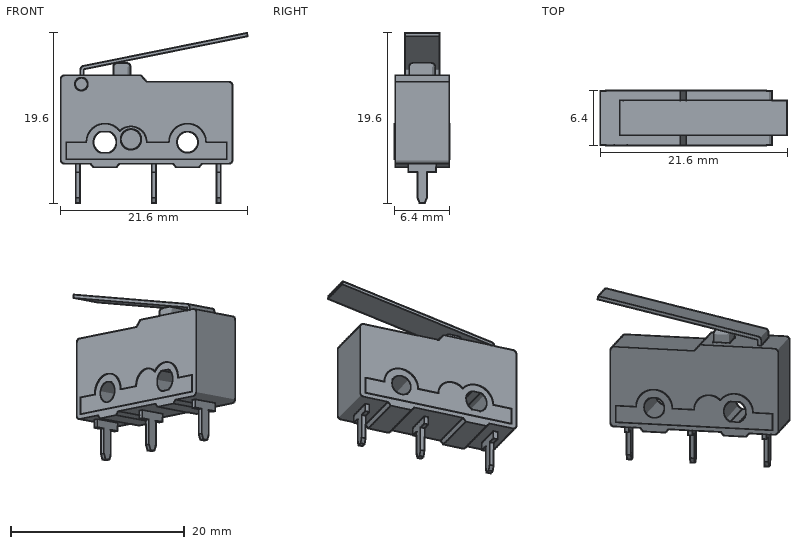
import cadquery as cq
import math


overall_length = 21.55
overall_width = 6.4
overall_height = 19.59

terminal_drop = 4.5
housing_length = 19.8
housing_height = 10.21
step_height = 9.45
step_start_x = 9.25
step_run = 0.67
left_corner_radius = 0.5
right_corner_radius = 0.45
panel_rise = 0.075
housing_width = overall_width - 2 * panel_rise

hole_z = 2.5
hole_diameter = 2.4
hole_spacing = 9.5
slotted_hole_x = 5.1
round_hole_x = slotted_hole_x + hole_spacing
slotted_hole_length = 2.6
foot_drop = 0.4
foot_top_width = 3.35
foot_bottom_width = 2.63

panel_left = 0.67
panel_right = 19.14
panel_bottom = 0.54
hole_lobe_radius = 2.13
recess_lobe_radius = 1.8

recess_depth = 0.1
recess_draft = 20.0
large_recess_x = 8.1
large_recess_z = 2.82
large_recess_diameter = 2.4
small_recess_x = 2.4
small_recess_z = 9.18
small_recess_diameter = 1.5

lever_width = 4.0
lever_thickness = 0.4
lever_left = 2.26
lever_bend_inner_radius = 0.1
lever_angle = math.radians(11.4)
lever_embed = 0.5

plunger_left = 6.08
plunger_length = 1.98
plunger_width = 3.0
plunger_top = 11.62
plunger_radius = 0.45
plunger_pocket_depth = 0.5

first_terminal_x = 1.98
second_terminal_x = 10.73
third_terminal_x = 18.19
terminal_thickness = 0.52
shoulder_width = 3.23
shoulder_drop = 0.95
blade_width = 1.12
tip_width = 0.62
tip_length = 0.62
terminal_embed = 0.5


def extrude_across(outline, width):
    """Extrude a closed XZ outline symmetrically about Y = 0."""
    return outline.extrude(width / 2, both=True)


def cylinder_across(x, z, diameter, width):
    """Cylinder along Y, centred on Y = 0."""
    return extrude_across(cq.Workplane("XZ").center(x, z).circle(diameter / 2), width)


def make_housing():
    """Stepped block with rounded end corners and two feet."""
    body = extrude_across(
        cq.Workplane("XZ").polyline([
            (0, 0),
            (housing_length, 0),
            (housing_length, step_height),
            (step_start_x + step_run, step_height),
            (step_start_x, housing_height),
            (0, housing_height),
        ]).close(),
        housing_width,
    )
    body = body.edges("|Y and <X").fillet(left_corner_radius)
    body = body.edges("|Y and >X").fillet(right_corner_radius)
    for x in (slotted_hole_x, round_hole_x):
        body = body.union(make_foot(x))
    return body


def make_foot(x):
    """Trapezoidal foot under the housing, embedded up to the hole axis."""
    half_top = foot_top_width / 2
    half_bottom = foot_bottom_width / 2
    outline = cq.Workplane("XZ").polyline([
        (x - half_bottom, -foot_drop),
        (x + half_bottom, -foot_drop),
        (x + half_top, 0),
        (x + half_top, hole_z),
        (x - half_top, hole_z),
        (x - half_top, 0),
    ]).close()
    return extrude_across(outline, housing_width)


def make_panel():
    """Strip with round lobes; it stands proud of both broad faces."""
    strip_length = panel_right - panel_left
    strip_height = hole_z - panel_bottom
    strip = cq.Workplane("XY").box(
        strip_length, overall_width, strip_height, centered=(False, True, False)
    ).translate((panel_left, 0, panel_bottom))
    lobes = cylinder_across(slotted_hole_x, hole_z, 2 * hole_lobe_radius, overall_width)
    lobes = lobes.union(cylinder_across(round_hole_x, hole_z, 2 * hole_lobe_radius, overall_width))
    lobes = lobes.union(cylinder_across(large_recess_x, hole_z, 2 * recess_lobe_radius, overall_width))
    upper_half = cq.Workplane("XY").box(
        strip_length, overall_width, housing_height, centered=(False, True, False)
    ).translate((panel_left, 0, hole_z))
    return strip.union(lobes.intersect(upper_half))


def make_mounting_holes():
    """Through holes: one round, one widened along X with flats above and below."""
    round_hole = cylinder_across(round_hole_x, hole_z, hole_diameter, overall_width)
    flats = cq.Workplane("XY").box(
        slotted_hole_length, overall_width, hole_diameter
    ).translate((slotted_hole_x, 0, hole_z))
    slotted_hole = cylinder_across(
        slotted_hole_x, hole_z, slotted_hole_length, overall_width
    ).intersect(flats)
    return round_hole.union(slotted_hole)


def make_recess(x, z, diameter, face_y):
    """Disc to be cut into a face at face_y; it narrows towards its floor."""
    return (
        cq.Workplane("XZ", origin=(x, face_y, z))
        .circle(diameter / 2)
        .extrude(-recess_depth, taper=recess_draft)
    )


def make_lever():
    """Bent strip: upright leg, rounded bend and a long arm rising towards +X."""
    sine = math.sin(lever_angle)
    cosine = math.cos(lever_angle)
    top_z = overall_height - terminal_drop
    root_z = housing_height - lever_embed
    inner_radius = lever_bend_inner_radius
    outer_radius = inner_radius + lever_thickness
    tip_lower_z = top_z - lever_thickness * cosine

    centre_x = lever_left + outer_radius
    arm_rise = (overall_length - centre_x) * math.tan(lever_angle)
    centre_z = tip_lower_z - arm_rise - inner_radius / cosine
    arm_direction = math.pi / 2 + lever_angle
    middle_direction = (math.pi + arm_direction) / 2

    def bend_point(radius, direction):
        return centre_x + radius * math.cos(direction), centre_z + radius * math.sin(direction)

    outline = (
        cq.Workplane("XZ")
        .moveTo(lever_left + lever_thickness, root_z)
        .lineTo(*bend_point(inner_radius, math.pi))
        .threePointArc(
            bend_point(inner_radius, middle_direction),
            bend_point(inner_radius, arm_direction),
        )
        .lineTo(overall_length, tip_lower_z)
        .lineTo(overall_length - lever_thickness * sine, top_z)
        .lineTo(*bend_point(outer_radius, arm_direction))
        .threePointArc(
            bend_point(outer_radius, middle_direction),
            bend_point(outer_radius, math.pi),
        )
        .lineTo(lever_left, root_z)
        .close()
    )
    return extrude_across(outline, lever_width)


def make_plunger_block(height):
    """Plain block with the plunger's plan, standing on the pocket floor."""
    floor_z = housing_height - plunger_pocket_depth
    return cq.Workplane("XY").box(
        plunger_length, plunger_width, height, centered=(False, True, False)
    ).translate((plunger_left, 0, floor_z))


def make_plunger():
    """Button with rounded corners and a rounded top, rising out of its pocket."""
    height = plunger_top - housing_height + plunger_pocket_depth
    return make_plunger_block(height).edges("|Z or >Z").fillet(plunger_radius)


def make_terminal(x):
    """Flat blade with a wide shoulder under the housing and a tapered tip."""
    half_shoulder = shoulder_width / 2
    half_blade = blade_width / 2
    half_tip = tip_width / 2
    right_side = [
        (half_shoulder, terminal_embed),
        (half_shoulder, -shoulder_drop),
        (half_blade, -shoulder_drop),
        (half_blade, tip_length - terminal_drop),
        (half_tip, -terminal_drop),
    ]
    left_side = [(-y, z) for y, z in reversed(right_side)]
    return (
        cq.Workplane("YZ", origin=(x, 0, 0))
        .polyline(right_side + left_side)
        .close()
        .extrude(terminal_thickness / 2, both=True)
    )


housing_face_y = -housing_width / 2
panel_face_y = -overall_width / 2

result = make_housing().union(make_panel()).cut(make_mounting_holes())
result = result.cut(make_recess(large_recess_x, large_recess_z, large_recess_diameter, panel_face_y))
result = result.cut(make_recess(small_recess_x, small_recess_z, small_recess_diameter, housing_face_y))
result = result.cut(make_plunger_block(plunger_pocket_depth))
result = result.union(make_plunger()).union(make_lever())
for terminal_x in (first_terminal_x, second_terminal_x, third_terminal_x):
    result = result.union(make_terminal(terminal_x))